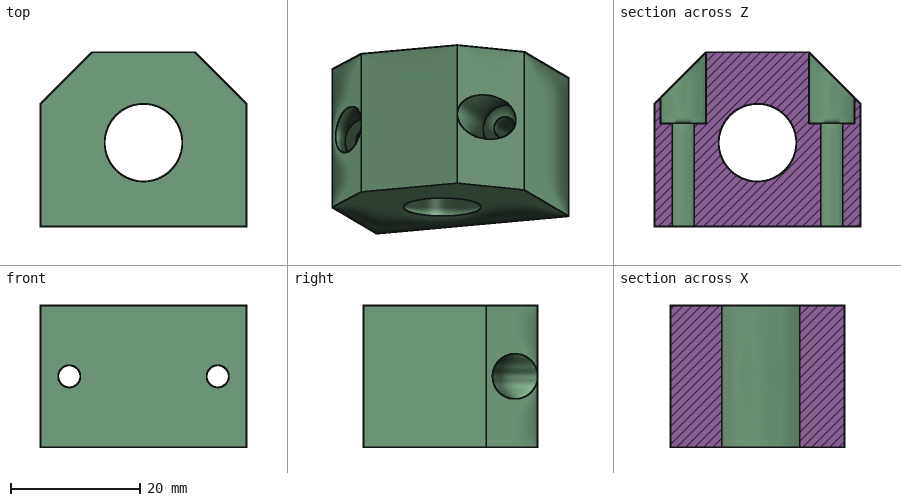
import cadquery as cq

width = 32.0
depth = 27.0
height = 22.0
corner_chamfer = 8.0

bore_diameter = 12.0
bore_center_y = 13.0

bolt_spacing = 23.0
bolt_diameter = 3.4
head_diameter = 7.0
seat_y = 16.0


def make_block():
    block = cq.Workplane("XY").box(width, depth, height, centered=(True, False, True))
    return block.edges("|Z and >Y").chamfer(corner_chamfer)


def make_bore():
    return (
        cq.Workplane("XY", origin=(0, bore_center_y, -height / 2))
        .circle(bore_diameter / 2)
        .extrude(height)
    )


def cylinder_along_y(x, start_y, end_y, diameter):
    return (
        cq.Workplane("XZ", origin=(x, start_y, 0))
        .circle(diameter / 2)
        .extrude(start_y - end_y)
    )


result = make_block().cut(make_bore())
for bolt_x in (-bolt_spacing / 2, bolt_spacing / 2):
    result = result.cut(cylinder_along_y(bolt_x, 0, depth, bolt_diameter))
    result = result.cut(cylinder_along_y(bolt_x, seat_y, depth, head_diameter))